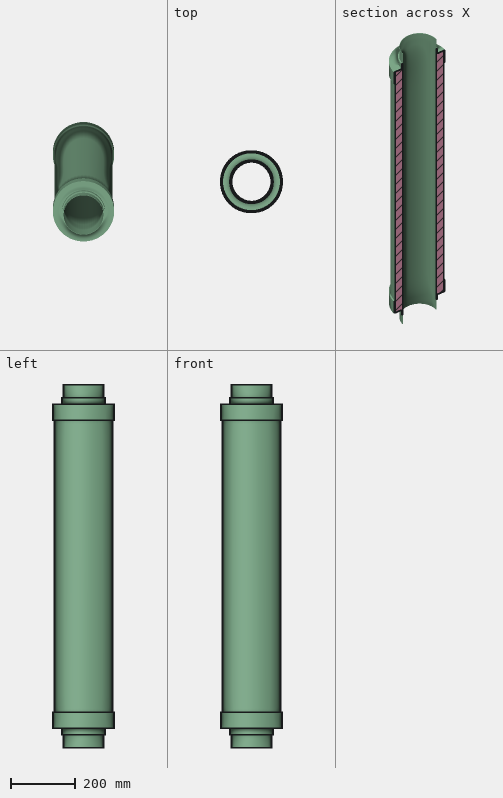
import cadquery as cq

casing_length = 1000.0
band_height = 50.0
collar_length = 20.0
spigot_length = 40.0

band_diameter = 189.5
casing_diameter = 180.5
collar_diameter = 133.0
spigot_diameter = 124.5
spigot_wall = 1.0

bore_diameter = spigot_diameter - 2 * spigot_wall

casing_top = casing_length / 2
band_bottom = casing_top - band_height
collar_top = casing_top + collar_length
spigot_top = collar_top + spigot_length


def make_body():
    """Turned body: long casing stepping down to a collar and a spigot at each end, bored through."""
    casing_radius = casing_diameter / 2
    collar_radius = collar_diameter / 2
    spigot_radius = spigot_diameter / 2
    bore_radius = bore_diameter / 2
    upper_outline = [
        (casing_radius, casing_top),
        (collar_radius, casing_top),
        (collar_radius, collar_top),
        (spigot_radius, collar_top),
        (spigot_radius, spigot_top),
        (bore_radius, spigot_top),
    ]
    lower_outline = [(radius, -height) for radius, height in reversed(upper_outline)]
    return (
        cq.Workplane("XZ")
        .polyline(upper_outline + lower_outline)
        .close()
        .revolve(360, (0, 0), (0, 1))
    )


def make_top_end_band():
    """Band around the upper end of the casing, flush with its end face."""
    return (
        cq.Workplane("XY")
        .workplane(offset=band_bottom)
        .circle(band_diameter / 2)
        .circle(casing_diameter / 2)
        .extrude(band_height)
    )


body = make_body()
top_end_band = make_top_end_band()
bottom_end_band = top_end_band.mirror("XY")

result = cq.Compound.makeCompound([body.val(), top_end_band.val(), bottom_end_band.val()])